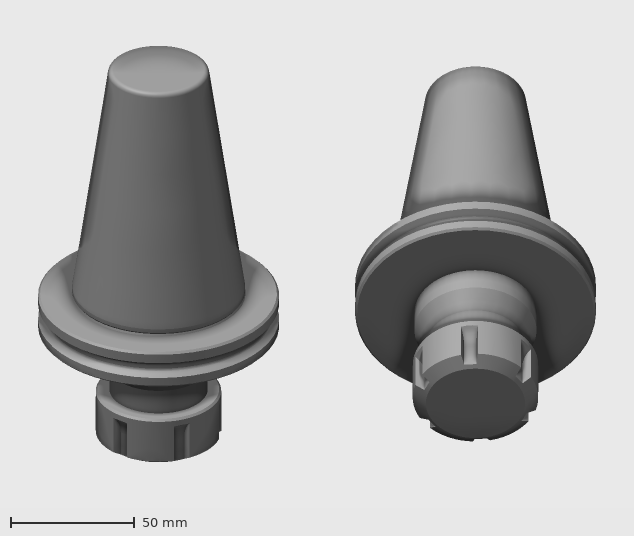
import cadquery as cq
import math

total_height = 171.6

nut_radius = 25.4
nut_height = 22.7
nut_top_chamfer = 0.9
nut_face_radius = 20.0
nut_face_chamfer_height = 3.3

neck_radius = 19.9
neck_top = 33.1
shoulder_radius = 24.7
shoulder_bottom = 41.4

flange_radius = 97.5 / 2
flange_bottom = 51.1
flange_height = 16.1
flange_chamfer = 0.9
groove_radius = 91.0 / 2
groove_middle = 59.0
groove_floor_width = 3.1
groove_flank_angle = 30.0
groove_corner_fillet = 1.0

pilot_radius = 35.0
taper_bottom = 70.4
relief_height = 1.4
relief_depth = 0.5
base_radius = 35.2
taper_ratio = 7 / 24
tip_fillet = 2.0

slot_count = 6
slot_floor_radius = 21.6
slot_floor_width = 5.0
slot_outer_width = 6.9
slot_runout_bottom = 11.3
slot_top = 19.4

flange_top = flange_bottom + flange_height
tip_radius = pilot_radius - (total_height - taper_bottom) * taper_ratio / 2
groove_flank_height = (flange_radius - groove_radius) * math.tan(math.radians(groove_flank_angle))
groove_floor_bottom = groove_middle - groove_floor_width / 2
groove_floor_top = groove_middle + groove_floor_width / 2


def make_body():
    """Revolve the complete half section around Z."""
    profile = [
        (0, 0),
        (nut_face_radius, 0),
        (nut_radius, nut_face_chamfer_height),
        (nut_radius, nut_height - nut_top_chamfer),
        (nut_radius - nut_top_chamfer, nut_height),
        (neck_radius, nut_height),
        (neck_radius, neck_top),
        (shoulder_radius, shoulder_bottom),
        (shoulder_radius, flange_bottom),
        (flange_radius - flange_chamfer, flange_bottom),
        (flange_radius, flange_bottom + flange_chamfer),
        (flange_radius, groove_floor_bottom - groove_flank_height),
        (groove_radius, groove_floor_bottom),
        (groove_radius, groove_floor_top),
        (flange_radius, groove_floor_top + groove_flank_height),
        (flange_radius, flange_top - flange_chamfer),
        (flange_radius - flange_chamfer, flange_top),
        (base_radius, flange_top),
        (pilot_radius - relief_depth, flange_top + relief_height / 2),
        (pilot_radius, flange_top + relief_height),
        (pilot_radius, taper_bottom),
        (tip_radius, total_height),
        (0, total_height),
    ]
    body = cq.Workplane("XZ").polyline(profile).close().revolve(360, (0, 0, 0), (0, 1, 0))
    body = body.faces(">Z").edges().fillet(tip_fillet)

    margin = 0.2
    floor_corners = cq.selectors.BoxSelector(
        (-margin, -margin, groove_floor_bottom - margin),
        (margin, margin, groove_floor_top + margin),
    )
    return body.edges("%CIRCLE").edges(floor_corners).fillet(groove_corner_fillet)


def make_slot_cutter():
    """Slot on the +X side: flared in plan, with a floor that curves out to the nut wall."""
    reach = 2 * nut_radius - slot_floor_radius
    mouth_distance = math.sqrt(nut_radius**2 - (slot_outer_width / 2) ** 2)
    flare = (slot_outer_width - slot_floor_width) / 2 / (mouth_distance - slot_floor_radius)
    floor_half = slot_floor_width / 2
    reach_half = floor_half + flare * (reach - slot_floor_radius)
    plan = (
        cq.Workplane("XY")
        .polyline([
            (slot_floor_radius, -floor_half),
            (reach, -reach_half),
            (reach, reach_half),
            (slot_floor_radius, floor_half),
        ])
        .close()
        .extrude(slot_top)
    )

    depth = nut_radius - slot_floor_radius
    rise = slot_top - slot_runout_bottom
    runout_radius = (rise**2 + depth**2) / (2 * depth)
    half_angle = math.asin(rise / runout_radius) / 2
    arc_middle = (
        slot_floor_radius + runout_radius * (1 - math.cos(half_angle)),
        slot_runout_bottom + runout_radius * math.sin(half_angle),
    )
    side = (
        cq.Workplane("XZ")
        .moveTo(slot_floor_radius, 0)
        .lineTo(slot_floor_radius, slot_runout_bottom)
        .threePointArc(arc_middle, (nut_radius, slot_top))
        .lineTo(reach, slot_top)
        .lineTo(reach, 0)
        .close()
        .extrude(reach_half, both=True)
    )
    return plan.intersect(side)


result = make_body()

slot_cutter = make_slot_cutter()
for index in range(slot_count):
    angle = -90 + index * 360 / slot_count
    result = result.cut(slot_cutter.rotate((0, 0, 0), (0, 0, 1), angle))